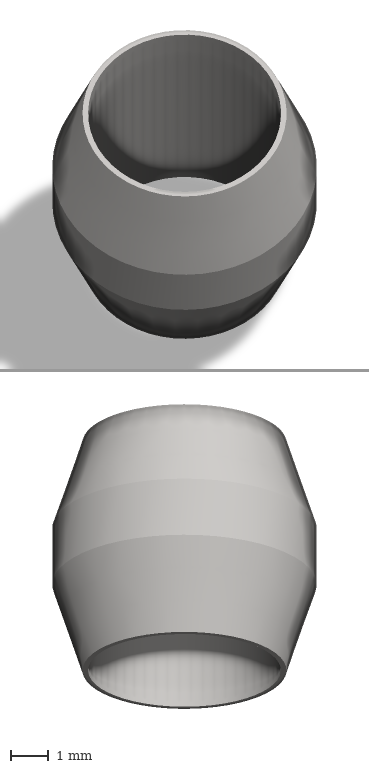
import cadquery as cq

band_diameter = 7.0
end_diameter = 5.4
bore_diameter = 5.1
height = 6.5
band_height = 1.6

band_radius = band_diameter / 2
end_radius = end_diameter / 2
bore_radius = bore_diameter / 2
end_level = height / 2
band_level = band_height / 2

section = [
    (bore_radius, -end_level),
    (end_radius, -end_level),
    (band_radius, -band_level),
    (band_radius, band_level),
    (end_radius, end_level),
    (bore_radius, end_level),
]

result = cq.Workplane("XZ").polyline(section).close().revolve(360, (0, 0, 0), (0, 1, 0))